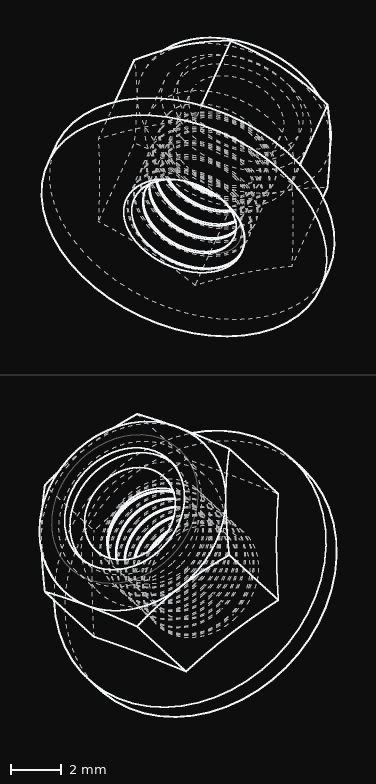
import cadquery as cq
import math

height = 7.1

across_flats = 8.0
hex_sides = 6
corner_radius = across_flats / 2 / math.cos(math.pi / hex_sides)
hex_chamfer_slope = math.tan(math.radians(28))

flange_radius = 11.8 / 2
flange_rim = 1.0
flange_slope = math.tan(math.radians(16))

crown_radius = across_flats / 2
crown_round = 0.83
hex_top = height - crown_round

pitch = 0.8
major_radius = 4.98 / 2
minor_radius = 3.94 / 2
root_flat = pitch / 8
half_flank_angle = math.radians(30)
thread_phase = -20
groove_overlap = 0.05

mouth_radius = 5.0 / 2
mouth_depth = mouth_radius - minor_radius

insert_bottom = 4.5
insert_top = 6.6
insert_radius = 3.1
insert_bore_radius = minor_radius
lip_radius = 2.6


def cylinder(radius, start, end):
    """Cylinder about the Y axis from Y = start to Y = end."""
    return cq.Workplane("XZ", origin=(0, start, 0)).circle(radius).extrude(start - end)


def revolve_profile(profile):
    """Close a (radius, Y) profile and turn it about the Y axis."""
    return profile.close().revolve(360, (0, 0, 0), (0, 1, 0))


def make_flange():
    cone_tip = flange_rim + flange_radius * flange_slope
    return revolve_profile(
        cq.Workplane("ZY")
        .lineTo(flange_radius, 0)
        .lineTo(flange_radius, flange_rim)
        .lineTo(0, cone_tip)
    )


def make_hexagon():
    """Hexagonal prism with flats on +X and -X and chamfered top corners."""
    prism = (
        cq.Workplane("XZ")
        .polygon(hex_sides, 2 * corner_radius)
        .extrude(-hex_top)
        .rotate((0, 0, 0), (0, 1, 0), 180 / hex_sides)
    )
    chamfer_drop = (flange_radius - crown_radius) * hex_chamfer_slope
    chamfer_cone = revolve_profile(
        cq.Workplane("ZY")
        .lineTo(flange_radius, 0)
        .lineTo(flange_radius, hex_top - chamfer_drop)
        .lineTo(crown_radius, hex_top)
        .lineTo(0, hex_top)
    )
    return prism.intersect(chamfer_cone)


def make_crown():
    """Cylinder with a quarter-round top edge."""
    top_radius = crown_radius - crown_round
    arc_middle = crown_round * math.sqrt(0.5)
    return revolve_profile(
        cq.Workplane("ZY")
        .lineTo(crown_radius, 0)
        .lineTo(crown_radius, hex_top)
        .threePointArc((top_radius + arc_middle, hex_top + arc_middle), (top_radius, height))
        .lineTo(0, height)
    )


def make_thread_groove():
    """Helical V groove that starts one pitch below Y = 0 and ends inside the recess."""
    groove_inner = minor_radius - groove_overlap
    root_half = root_flat / 2
    opening_half = root_half + (major_radius - groove_inner) * math.tan(half_flank_angle)
    helix = cq.Wire.makeHelix(pitch, insert_bottom + 2 * pitch, minor_radius)
    groove = (
        cq.Workplane("XZ")
        .polyline([
            (groove_inner, -opening_half),
            (major_radius, -root_half),
            (major_radius, root_half),
            (groove_inner, opening_half),
        ])
        .close()
        .sweep(cq.Workplane(helix), isFrenet=True)
    )
    return (
        groove
        .rotate((0, 0, 0), (0, 0, 1), thread_phase)
        .rotate((0, 0, 0), (1, 0, 0), -90)
        .translate((0, -pitch, 0))
    )


def make_threaded_hole():
    """Solid of the threaded hole: its core joined to the helical groove."""
    core = cylinder(minor_radius, -2 * pitch, insert_top)
    return core.union(make_thread_groove())


def make_hole_mouth():
    return revolve_profile(
        cq.Workplane("ZY")
        .lineTo(mouth_radius, 0)
        .lineTo(minor_radius, mouth_depth)
        .lineTo(0, mouth_depth)
    )


def make_nut():
    body = make_flange().union(make_hexagon()).union(make_crown())
    body = body.cut(make_hole_mouth())
    body = body.cut(make_threaded_hole())
    body = body.cut(cylinder(insert_radius, insert_bottom, insert_top))
    return body.cut(cylinder(lip_radius, insert_top, height))


def make_insert():
    """Plain locking ring that fills the recess."""
    ring = cylinder(insert_radius, insert_bottom, insert_top)
    return ring.cut(cylinder(insert_bore_radius, insert_bottom, insert_top))


nut = make_nut()
insert = make_insert()
result = cq.Compound.makeCompound([nut.val(), insert.val()])